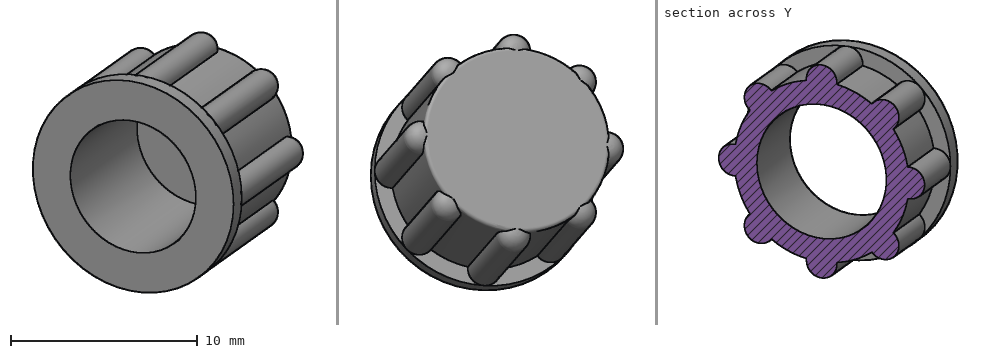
import cadquery as cq

length = 9.0
flange_diameter = 12.0
flange_thickness = 1.0
bore_diameter = 7.5
end_wall = 1.0
body_diameter = 10.2
body_edge_fillet = 0.2
rib_count = 8
rib_diameter = 1.8
rib_end_fillet = 0.84

rib_center_radius = (flange_diameter - rib_diameter) / 2
front = -length / 2

front_plane = cq.Workplane("XZ", origin=(0, front, 0))


def make_body():
    """Plain cylinder with a rounded closed end."""
    body = front_plane.circle(body_diameter / 2).extrude(-length)
    return body.faces(">Y").edges().fillet(body_edge_fillet)


def make_flange():
    return front_plane.circle(flange_diameter / 2).extrude(-flange_thickness)


def make_rib(angle):
    """Round grip rib with a domed rear end, turned about the cap axis."""
    rib = front_plane.center(rib_center_radius, 0).circle(rib_diameter / 2).extrude(-length)
    rib = rib.faces(">Y").edges().fillet(rib_end_fillet)
    return rib.rotate((0, 0, 0), (0, 1, 0), angle)


def make_bore():
    """Blind bore, open at the flange face."""
    return front_plane.circle(bore_diameter / 2).extrude(end_wall - length)


cap = make_body().union(make_flange())
for index in range(rib_count):
    cap = cap.union(make_rib(index * 360 / rib_count))

result = cap.cut(make_bore())